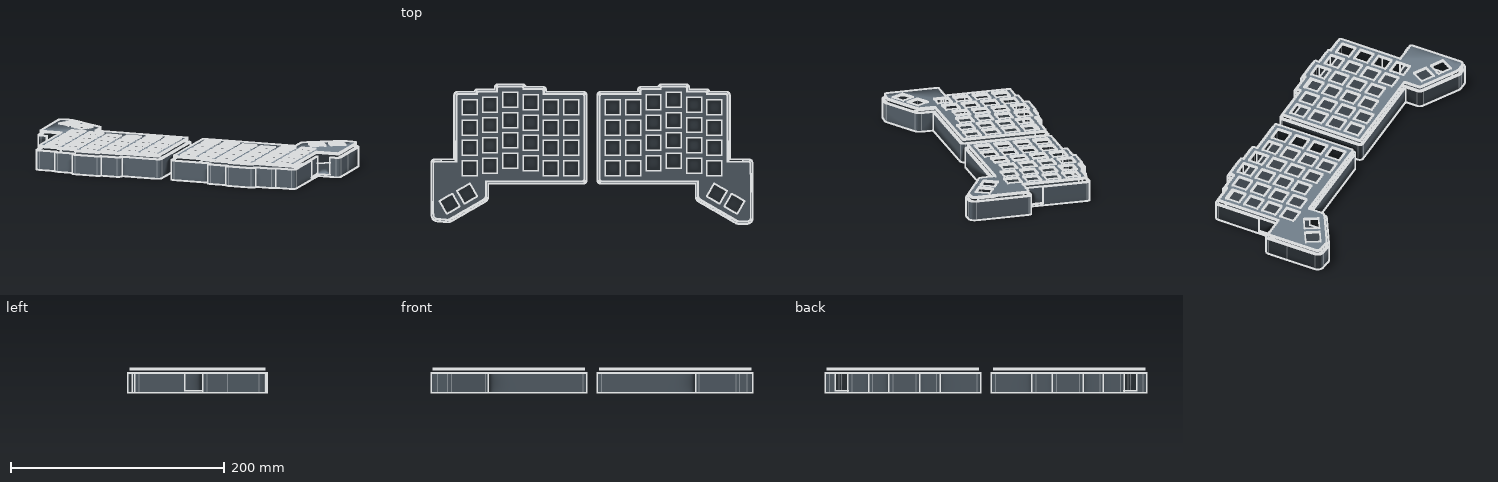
import cadquery as cq
import math


TOTAL_LENGTH = 302.15
TOTAL_DEPTH = 131.4
TOTAL_HEIGHT = 22.93

KEY_PITCH = 19.05
KEY_HOLE = 14.0
ROWS = 4
COLUMN_STAGGER = [0.0, 2.375, 7.0, 4.65, 0.0, 0.0]
CASE_MARGIN = 14.75
CASE_GAP = 9.7

CASE_HEIGHT = 18.6
FLOOR = 2.0
WALL = 2.0
CASE_CORNER_RADIUS = 3.75

PLATE_THICKNESS = 1.5
PLATE_INSET = 2.6
PLATE_THUMB_INSET = 2.0

THUMB_ANGLE = 30.0
THUMB_KEY_1 = (-117.2, -37.1)
THUMB_MARGIN = 15.15
THUMB_TOP = -4.75
THUMB_INNER_SIDE = -97.3
THUMB_CORNER_RADIUS = 6.0

LEFT_SIDE_TOP_INSET = 0.0
LEFT_SIDE_FOOT_INSET = 0.3
LEFT_SIDE_BEND = -27.8
LEFT_FRONT = -63.1
LEFT_FRONT_ANGLE = 4.8
RIGHT_SIDE_TOP_INSET = 0.35
RIGHT_SIDE_FOOT_INSET = 0.0

NOTCH_LEFT = -141.5
NOTCH_BACK = 12.2
NOTCH_WALL_LEFT = 1.0

CASE_LEFT = -TOTAL_LENGTH / 2
CASE_BACK = TOTAL_DEPTH / 2
CASE_FRONT = -TOTAL_DEPTH / 2
BLOCK_RIGHT = -CASE_GAP / 2
LAST_COLUMN = len(COLUMN_STAGGER) - 1
COLUMN_X = [BLOCK_RIGHT - CASE_MARGIN - (LAST_COLUMN - i) * KEY_PITCH for i in range(LAST_COLUMN + 1)]
TOP_ROW_Y = CASE_BACK - CASE_MARGIN - max(COLUMN_STAGGER)
BOTTOM_ROW_Y = TOP_ROW_Y - (ROWS - 1) * KEY_PITCH
SLOPE_X = math.cos(math.radians(THUMB_ANGLE))
SLOPE_Y = math.sin(math.radians(THUMB_ANGLE))
THUMB_KEY_2 = (THUMB_KEY_1[0] - KEY_PITCH * SLOPE_X, THUMB_KEY_1[1] - KEY_PITCH * SLOPE_Y)
PLATE_BOTTOM = TOTAL_HEIGHT - PLATE_THICKNESS


def crossing(point_1, direction_1, point_2, direction_2):
    """Point where two lines, each given by a point and a direction, cross."""
    cross = direction_1[0] * direction_2[1] - direction_1[1] * direction_2[0]
    gap_x = point_2[0] - point_1[0]
    gap_y = point_2[1] - point_1[1]
    along = (gap_x * direction_2[1] - gap_y * direction_2[0]) / cross
    return (point_1[0] + along * direction_1[0], point_1[1] + along * direction_1[1])


def back_edge(margin):
    """Corner points of the stepped back edge, from right to left, ending at the outer column.

    At each step the higher column keeps the full margin beside its keys.
    """
    backs = [TOP_ROW_Y + stagger + margin for stagger in COLUMN_STAGGER]
    points = [(COLUMN_X[-1] + margin, backs[-1])]
    for i in range(LAST_COLUMN - 1, -1, -1):
        if backs[i] == backs[i + 1]:
            continue
        if backs[i] > backs[i + 1]:
            step_x = COLUMN_X[i] + margin
        else:
            step_x = COLUMN_X[i + 1] - margin
        points += [(step_x, backs[i + 1]), (step_x, backs[i])]
    points.append((COLUMN_X[0] - margin, backs[0]))
    return points


def core_outline(thumb, side_inset):
    """Case outline of one half, shrunk by the case corner radius so that its plain corners are sharp.

    side_inset moves the outer side of the thumb cluster inwards.
    """
    top_inset, foot_inset, bend, front_y, front_angle = thumb
    margin = CASE_MARGIN - CASE_CORNER_RADIUS
    thumb_margin = THUMB_MARGIN - CASE_CORNER_RADIUS
    block_front = BOTTOM_ROW_Y - margin
    thumb_right = THUMB_INNER_SIDE - CASE_CORNER_RADIUS
    thumb_left = CASE_LEFT + CASE_CORNER_RADIUS + side_inset
    thumb_top = THUMB_TOP - CASE_CORNER_RADIUS

    slope = (SLOPE_X, SLOPE_Y)
    slope_point = (THUMB_KEY_1[0] + thumb_margin * SLOPE_Y, THUMB_KEY_1[1] - thumb_margin * SLOPE_X)
    front = (1, -math.tan(math.radians(front_angle)))
    outer_corner = (thumb_left + foot_inset, front_y + CASE_CORNER_RADIUS)
    lower_corner = crossing(outer_corner, front, slope_point, slope)
    inner_corner = crossing((thumb_right, block_front), (0, 1), slope_point, slope)
    rounded = [outer_corner, lower_corner, inner_corner]

    points = [(COLUMN_X[-1] + margin, block_front)] + back_edge(margin)
    points.append((COLUMN_X[0] - margin, thumb_top))
    points.append((thumb_left + top_inset, thumb_top))
    if bend is not None:
        points.append((thumb_left + top_inset, bend))
    points += rounded + [(thumb_right, block_front)]

    outline = cq.Wire.makePolygon([cq.Vector(x, y) for x, y in points], close=True)
    for x, y in rounded:
        corner = min(outline.Vertices(), key=lambda v: math.hypot(v.X - x, v.Y - y))
        outline = outline.fillet2D(THUMB_CORNER_RADIUS - CASE_CORNER_RADIUS, [corner])
    return outline


def half_block(thumb, inset, z_bottom, height, side_inset=0.0):
    """Solid of one half with its walls set in from the outside of the case."""
    outline = core_outline(thumb, side_inset).offset2D(CASE_CORNER_RADIUS - inset, "arc")
    block = cq.Workplane("XY").newObject(outline).toPending().extrude(height)
    return block.translate((0, 0, z_bottom))


def key_holes():
    """Square cutters for the finger keys and the two thumb keys."""
    finger_keys = [
        (x, TOP_ROW_Y + stagger - row * KEY_PITCH)
        for x, stagger in zip(COLUMN_X, COLUMN_STAGGER)
        for row in range(ROWS)
    ]
    holes = cq.Workplane("XY").pushPoints(finger_keys).rect(KEY_HOLE, KEY_HOLE).extrude(TOTAL_HEIGHT)
    for x, y in (THUMB_KEY_1, THUMB_KEY_2):
        hole = cq.Workplane("XY").rect(KEY_HOLE, KEY_HOLE).extrude(TOTAL_HEIGHT)
        holes = holes.union(hole.rotate((0, 0, 0), (0, 0, 1), THUMB_ANGLE).translate((x, y, 0)))
    return holes


def connector_notch():
    """Box that opens the thumb cluster's back wall and thins the side wall of the key block."""
    right = COLUMN_X[0] - CASE_MARGIN + WALL - NOTCH_WALL_LEFT
    front = THUMB_TOP - WALL
    notch = cq.Workplane("XY").box(right - NOTCH_LEFT, NOTCH_BACK - front, CASE_HEIGHT, centered=False)
    return notch.translate((NOTCH_LEFT, front, FLOOR))


def make_case(thumb):
    """Open tray with a connector notch in its inside corner."""
    tray = half_block(thumb, 0, 0, CASE_HEIGHT)
    cavity = half_block(thumb, WALL, FLOOR, CASE_HEIGHT)
    return tray.cut(cavity).cut(connector_notch())


def make_plate(thumb):
    """Flat plate with a square hole for each key."""
    side_inset = PLATE_THUMB_INSET - PLATE_INSET
    plate = half_block(thumb, PLATE_INSET, PLATE_BOTTOM, PLATE_THICKNESS, side_inset)
    return plate.cut(key_holes())


LEFT_THUMB = (LEFT_SIDE_TOP_INSET, LEFT_SIDE_FOOT_INSET, LEFT_SIDE_BEND, LEFT_FRONT, LEFT_FRONT_ANGLE)
RIGHT_THUMB = (RIGHT_SIDE_TOP_INSET, RIGHT_SIDE_FOOT_INSET, None, CASE_FRONT, 0)

left_case = make_case(LEFT_THUMB).solids()
left_plate = make_plate(LEFT_THUMB).solids()
right_case = make_case(RIGHT_THUMB).mirror("YZ").solids()
right_plate = make_plate(RIGHT_THUMB).mirror("YZ").solids()

result = cq.Compound.makeCompound([left_case.val(), left_plate.val(), right_case.val(), right_plate.val()])